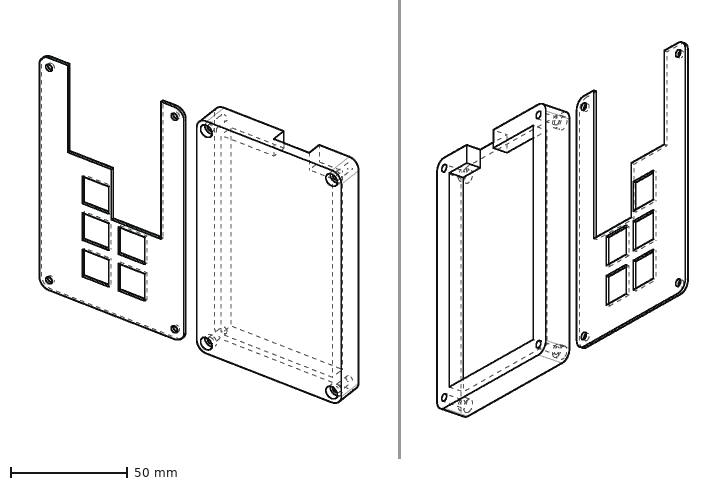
import cadquery as cq

PANEL_WIDTH = 76.1
PANEL_HEIGHT = 120.1
CORNER_RADIUS = 5.1
SCREW_INSET = 5.1
SCREW_DIAMETER = 3.3

PLATE_THICKNESS = 1.5
PLATE_LIFT = 1.0
CUTOUT_LEFT = 15.0
CUTOUT_STEP = 38.0
CUTOUT_RIGHT = 64.0
CUTOUT_SHALLOW_DEPTH = 45.0
CUTOUT_DEEP_DEPTH = 71.0
KEY_SIZE = 14.0
KEY_PITCH = 18.9
KEY_LEFT = 22.5
KEY_BOTTOM = 13.8
KEYS_PER_COLUMN = (3, 2)

HOUSING_DEPTH = 13.0
OVERALL_WIDTH = 158.9
HOUSING_LEFT = OVERALL_WIDTH - PANEL_WIDTH
WALL = 8.7
COUNTERBORE_DIAMETER = 6.0
COUNTERBORE_DEPTH = 3.2
NOTCH_LEFT = 36.7
NOTCH_WIDTH = 18.6
NOTCH_DEPTH = 7.5

SCREW_POSITIONS = [
    (x, z)
    for x in (SCREW_INSET, PANEL_WIDTH - SCREW_INSET)
    for z in (SCREW_INSET, PANEL_HEIGHT - SCREW_INSET)
]


def block(x, y, z, width, depth, height):
    """Box placed by its lowest X, Y and Z corner."""
    return cq.Workplane("XY").box(width, depth, height, centered=False).translate((x, y, z))


def rounded_panel(depth):
    """Panel with its four corners rounded about the Y axis."""
    panel = block(0, 0, 0, PANEL_WIDTH, depth, PANEL_HEIGHT)
    return panel.edges("|Y").fillet(CORNER_RADIUS)


def screw_cutters(diameter, depth):
    """Cylinders at the four screw positions, running back from the front face."""
    circles = cq.Workplane("XZ").pushPoints(SCREW_POSITIONS).circle(diameter / 2)
    return circles.extrude(-depth)


def stepped_cutout():
    """Two-level opening that breaks through the top edge of the plate."""
    outline = [
        (CUTOUT_LEFT, PANEL_HEIGHT),
        (CUTOUT_LEFT, PANEL_HEIGHT - CUTOUT_SHALLOW_DEPTH),
        (CUTOUT_STEP, PANEL_HEIGHT - CUTOUT_SHALLOW_DEPTH),
        (CUTOUT_STEP, PANEL_HEIGHT - CUTOUT_DEEP_DEPTH),
        (CUTOUT_RIGHT, PANEL_HEIGHT - CUTOUT_DEEP_DEPTH),
        (CUTOUT_RIGHT, PANEL_HEIGHT),
    ]
    return cq.Workplane("XZ").polyline(outline).close().extrude(-PLATE_THICKNESS)


def make_plate():
    plate = rounded_panel(PLATE_THICKNESS)
    plate = plate.cut(screw_cutters(SCREW_DIAMETER, PLATE_THICKNESS))
    plate = plate.cut(stepped_cutout())
    for column, key_count in enumerate(KEYS_PER_COLUMN):
        for row in range(key_count):
            x = KEY_LEFT + column * KEY_PITCH
            z = KEY_BOTTOM + row * KEY_PITCH
            plate = plate.cut(block(x, 0, z, KEY_SIZE, PLATE_THICKNESS, KEY_SIZE))
    return plate.translate((0, 0, PLATE_LIFT))


def make_housing():
    housing = rounded_panel(HOUSING_DEPTH)
    housing = housing.cut(screw_cutters(SCREW_DIAMETER, HOUSING_DEPTH))
    housing = housing.cut(screw_cutters(COUNTERBORE_DIAMETER, COUNTERBORE_DEPTH))

    floor = HOUSING_DEPTH - NOTCH_DEPTH
    cavity_width = PANEL_WIDTH - 2 * WALL
    cavity_height = PANEL_HEIGHT - 2 * WALL
    housing = housing.cut(block(WALL, floor, WALL, cavity_width, NOTCH_DEPTH, cavity_height))

    notch_bottom = PANEL_HEIGHT - WALL
    housing = housing.cut(block(NOTCH_LEFT, floor, notch_bottom, NOTCH_WIDTH, NOTCH_DEPTH, WALL))
    return housing.translate((HOUSING_LEFT, 0, 0))


plate = make_plate()
housing = make_housing()
result = cq.Compound.makeCompound([plate.val(), housing.val()])